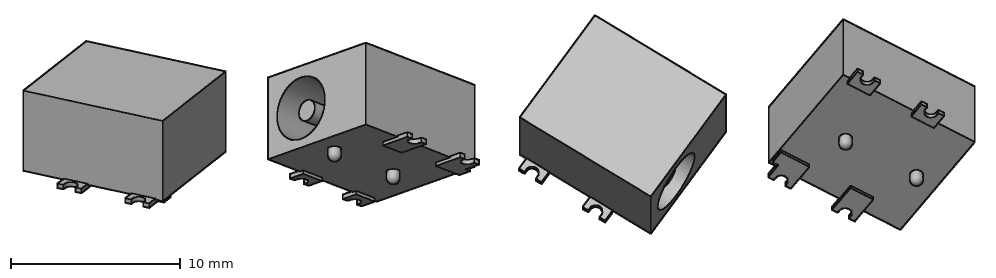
import cadquery as cq

body_length = 9.3
body_width = 8.0
body_height = 5.2

socket_y = 1.3
socket_z = 2.51
socket_diameter = 3.91
socket_depth = 8.0
pin_diameter = 1.3
pin_setback = 0.5

peg_diameter = 0.8
peg_length = 0.8
peg_positions = (1.5, 6.5)

overall_width = 9.6
lead_width = 1.6
lead_thickness = 0.3
lead_bottom = -0.22
lead_positions = (3.5, 8.02)
rear_lead_inset = 0.3
front_lead_inset = 1.2
notch_width = 0.8
notch_depth = 0.6
foot_extension = 0.4


def make_body():
    """Block with the socket bored into its left face and the pin inside it."""
    body = cq.Workplane("XY").box(body_length, body_width, body_height, centered=(False, True, False))
    left_face = cq.Workplane("YZ").center(socket_y, socket_z)
    socket = left_face.circle(socket_diameter / 2).extrude(socket_depth)
    pin = (
        left_face.workplane(offset=pin_setback)
        .circle(pin_diameter / 2)
        .extrude(body_length - pin_setback)
    )
    return body.cut(socket).union(pin)


def make_peg(x):
    """Peg with a hemispherical tip."""
    radius = peg_diameter / 2
    tip_centre_z = radius - peg_length
    shank = cq.Workplane("XY").center(x, 0).circle(radius).extrude(tip_centre_z)
    tip = cq.Workplane("XY").sphere(radius).translate((x, 0, tip_centre_z))
    return shank.union(tip)


def make_lead(x, side, inset):
    """Flat lead at the -Y (side = -1) or +Y (side = 1) edge, notched at its outer end."""
    outer_y = overall_width / 2
    inner_y = body_width / 2 - inset
    notch_radius = notch_width / 2
    notch_end_y = outer_y - notch_depth
    notch_arc_y = notch_end_y + notch_radius
    return (
        cq.Workplane("XY", origin=(x, 0, lead_bottom))
        .moveTo(-lead_width / 2, side * inner_y)
        .lineTo(-lead_width / 2, side * outer_y)
        .lineTo(-notch_radius, side * outer_y)
        .lineTo(-notch_radius, side * notch_arc_y)
        .threePointArc((0, side * notch_end_y), (notch_radius, side * notch_arc_y))
        .lineTo(notch_radius, side * outer_y)
        .lineTo(lead_width / 2, side * outer_y)
        .lineTo(lead_width / 2, side * inner_y)
        .close()
        .extrude(lead_thickness)
    )


def make_foot():
    """Sideways extension of the right front lead, underneath the housing."""
    foot_length = front_lead_inset - rear_lead_inset
    start_x = lead_positions[-1]
    start_y = front_lead_inset - body_width / 2 - foot_length
    return (
        cq.Workplane("XY", origin=(start_x, start_y, lead_bottom))
        .box(lead_width / 2 + foot_extension, foot_length, lead_thickness, centered=False)
    )


part = make_body()

for peg_x in peg_positions:
    part = part.union(make_peg(peg_x))

for lead_x in lead_positions:
    part = part.union(make_lead(lead_x, -1, front_lead_inset))
    part = part.union(make_lead(lead_x, 1, rear_lead_inset))

result = part.union(make_foot())